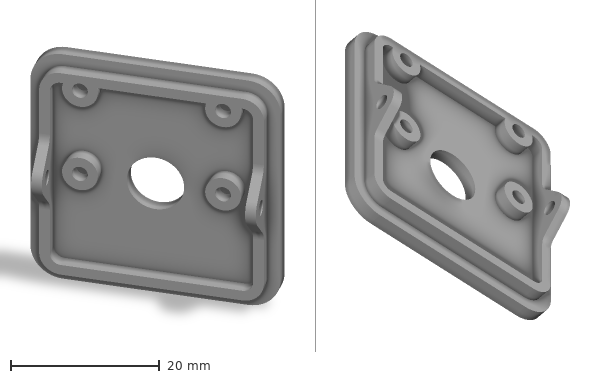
import cadquery as cq
import math

flange_side = 35.0
flange_thickness = 2.0
flange_radius = 4.55

rim_side = 31.43
rim_height = 2.0
rim_radius = 3.0
wall = 1.5
pocket_side = rim_side - 2 * wall
pocket_radius = 1.5
rim_level = flange_thickness + rim_height
pocket_depth = 2.0
floor_level = rim_level - pocket_depth

window_diameter = 8.0
window_z = -0.6

boss_diameter = 5.0
boss_hole_diameter = 2.2
boss_hole_depth = pocket_depth
boss_x = 10.0
boss_lower_z = 0.42
boss_pitch_z = 13.0

total_depth = 7.98
ear_tip_radius = 2.5
ear_root_radius = 2.0
ear_hole_diameter = 2.2
ear_center = total_depth - ear_tip_radius


def square_block(side, radius, start, end):
    """Rounded square block between two heights above the back face."""
    block = cq.Workplane("XZ").workplane(offset=start).rect(side, side).extrude(end - start)
    return block.edges("|Y").fillet(radius)


def cylinders(diameter, points, start, end):
    """Cylinders along Y at the given (x, z) points."""
    plane = cq.Workplane("XZ").workplane(offset=start)
    return plane.pushPoints(points).circle(diameter / 2).extrude(end - start)


def hinge_ear(inner_x):
    """Ear with 45 degree flanks, a round tip and root arcs tangent to the rim."""
    diagonal = math.sqrt(0.5)
    tip_depth = ear_center + ear_tip_radius * diagonal
    tip_half = ear_tip_radius * diagonal
    root_depth = rim_level + ear_root_radius * (1 - diagonal)
    root_half = tip_half + tip_depth - root_depth
    base_half = root_half + ear_root_radius * diagonal
    half_sweep = math.radians(45) / 2
    mid_depth = rim_level + ear_root_radius * (1 - math.cos(half_sweep))
    mid_half = base_half - ear_root_radius * math.sin(half_sweep)

    ear = (
        cq.Workplane("YZ", origin=(inner_x, 0, 0))
        .moveTo(-flange_thickness, -base_half)
        .lineTo(-rim_level, -base_half)
        .threePointArc((-mid_depth, -mid_half), (-root_depth, -root_half))
        .lineTo(-tip_depth, -tip_half)
        .threePointArc((-total_depth, 0), (-tip_depth, tip_half))
        .lineTo(-root_depth, root_half)
        .threePointArc((-mid_depth, mid_half), (-rim_level, base_half))
        .lineTo(-flange_thickness, base_half)
        .close()
        .extrude(wall)
    )
    hole = (
        cq.Workplane("YZ", origin=(inner_x, 0, 0))
        .center(-ear_center, 0)
        .circle(ear_hole_diameter / 2)
        .extrude(wall)
    )
    return ear.cut(hole)


flange = square_block(flange_side, flange_radius, 0, flange_thickness)
rim = square_block(rim_side, rim_radius, flange_thickness, rim_level)
pocket = square_block(pocket_side, pocket_radius, floor_level, rim_level)
body = flange.union(rim).cut(pocket)

boss_points = [
    (x, z)
    for x in (-boss_x, boss_x)
    for z in (boss_lower_z, boss_lower_z + boss_pitch_z)
]
bosses = cylinders(boss_diameter, boss_points, floor_level, rim_level)
body = body.union(bosses.intersect(rim))
body = body.cut(cylinders(boss_hole_diameter, boss_points, rim_level - boss_hole_depth, rim_level))

body = body.cut(cylinders(window_diameter, [(0, window_z)], 0, rim_level))

for ear_x in (-rim_side / 2, rim_side / 2 - wall):
    body = body.union(hinge_ear(ear_x))

result = body